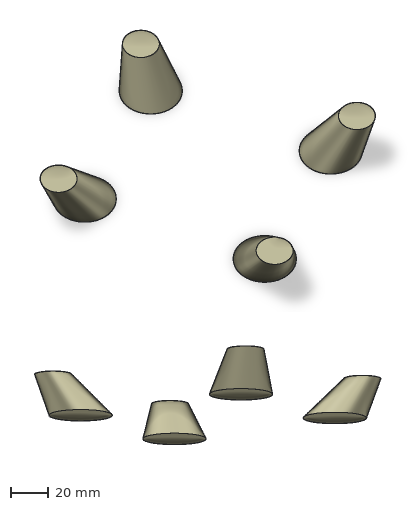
import cadquery as cq

overall_length = 147.6
overall_width = 127.7
foot_height = 22.0

top_diameter = 20.0
base_diameter = 34.1
lean = 15.0

top_center_x = (overall_length - top_diameter) / 2
top_center_y = (overall_width - top_diameter) / 2


def make_foot(side_x, side_y):
    """Make the foot in one corner, its base shifted diagonally inward from its top."""
    inward = cq.Vector(-side_x, -side_y, 0).normalized()
    top_center = cq.Vector(side_x * top_center_x, side_y * top_center_y, foot_height)
    base_center = top_center + inward * lean - cq.Vector(0, 0, foot_height)
    up = cq.Vector(0, 0, 1)

    base_plane = cq.Plane(base_center, xDir=inward, normal=up)
    top_plane = cq.Plane(top_center, xDir=inward, normal=up)
    base_circle = cq.Workplane(base_plane).circle(base_diameter / 2).val()
    top_circle = cq.Workplane(top_plane).circle(top_diameter / 2).val()
    return cq.Solid.makeLoft([base_circle, top_circle], True)


feet = []
for side_x in (-1, 1):
    for side_y in (-1, 1):
        feet.append(make_foot(side_x, side_y))

result = cq.Compound.makeCompound(feet)